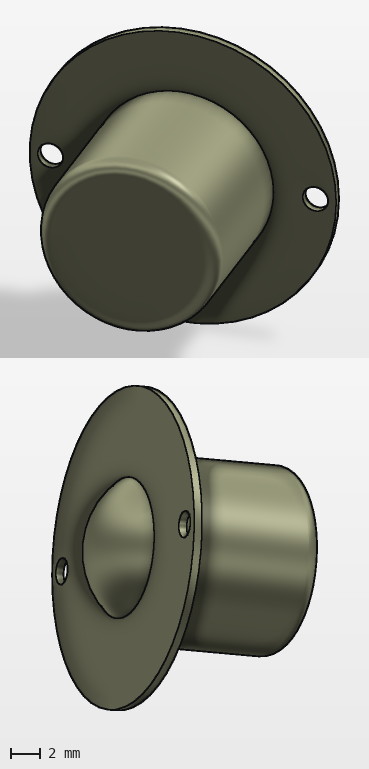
import cadquery as cq

flange_diameter = 22.0
flange_thickness = 0.6
hole_diameter = 1.8
hole_spacing = 19.0

overall_depth = 14.2
cup_diameter = 13.0
cup_edge_radius = 1.0

ball_radius = 6.0
ball_protrusion = 2.4

cup_depth = overall_depth - ball_protrusion


def disc(diameter, depth):
    """Solid disc from Y = 0 to Y = -depth, centred on the Y axis."""
    return cq.Workplane("XZ").circle(diameter / 2).extrude(depth)


def make_flange():
    mounting_holes = (
        cq.Workplane("XZ")
        .pushPoints([(-hole_spacing / 2, 0), (hole_spacing / 2, 0)])
        .circle(hole_diameter / 2)
        .extrude(flange_thickness)
    )
    return disc(flange_diameter, flange_thickness).cut(mounting_holes)


def make_cup():
    return disc(cup_diameter, cup_depth).faces("<Y").edges().fillet(cup_edge_radius)


def make_ball():
    ball_center_y = ball_protrusion - ball_radius
    return cq.Workplane("XY").sphere(ball_radius).translate((0, ball_center_y, 0))


result = make_flange().union(make_cup()).union(make_ball())